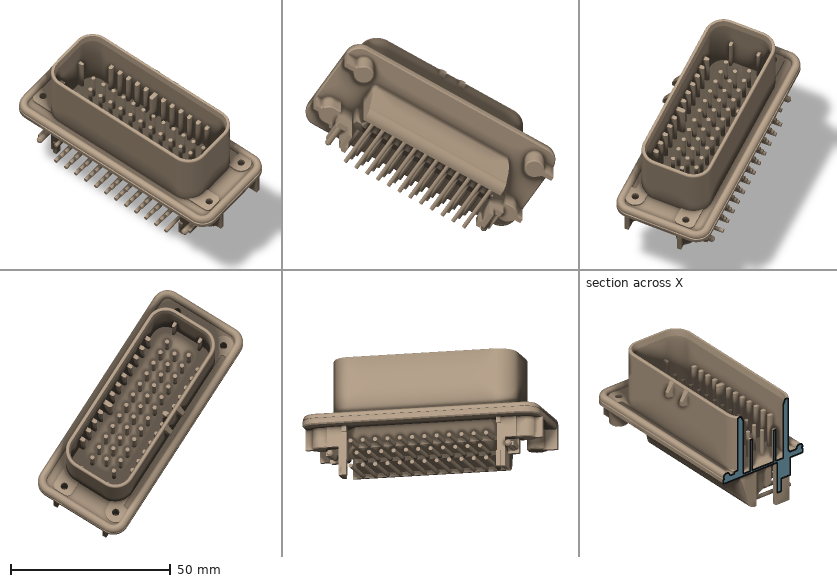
import cadquery as cq
import math


FLANGE_X = 76.9
FLANGE_Y = 32.1
FLANGE_CORNER_R = 5.0
LIP_TOP_Z = 1.75
LIP_CHAMFER = 0.4
GROOVE_TOP_Z = 2.1
GROOVE_DEPTH = 0.4
BEAD_TOP_Z = 3.65
BEAD_INSET = 0.15
BEAD_WIDTH = 2.65
TRAY_FLOOR_Z = 2.3
PAD_TOP_Z = 3.0
PAD_BACK_R = 3.2
PAD_NECK_X = 29.0
PAD_FRONT_OUTER_X = 35.5
PAD_FRONT_HALF_Y = 3.25
PAD_FRONT_R = 1.6

SHROUD_X = 59.5
SHROUD_Y = 23.5
SHROUD_CORNER_R = 6.25
SHROUD_WALL = 1.5
SHROUD_TOP_Z = 22.1
SHROUD_FLOOR_Z = 1.0
RIM_FILLET = 0.5
LEAD_IN_WIDTH = 0.5
LEAD_IN_HEIGHT = 2.0
CAVITY_X = SHROUD_X - 2 * SHROUD_WALL
CAVITY_Y = SHROUD_Y - 2 * SHROUD_WALL
CAVITY_CORNER_R = SHROUD_CORNER_R - SHROUD_WALL

GUIDE_COUNT = 12
GUIDE_PITCH = 3.48
GUIDE_WIDTH = 1.3
GUIDE_LENGTH = 1.75
GUIDE_TOP_Z = 12.3
KEY_WIDTH = 1.5
KEY_LENGTH = 3.0
BACK_KEY_INDEX = 5
FRONT_KEY_INDEX = 7
END_GUIDE_WIDTH = 1.0
END_GUIDE_Y = 4.75

LATCH_XS = (-3.6, 3.6)
LATCH_WIDTH = 1.9
LATCH_TIP_WIDTH = 1.3
LATCH_REACH = 2.1
LATCH_BOTTOM_Z = 16.7
LATCH_TIP_Z = 18.3

PIN_D = 1.3
PIN_PITCH = 4.0
PIN_TOP_Z = 9.9
PIN_TAIL_Y = -15.15
TAIL_ROOT_Y = 1.5
PIN_ROWS = ((12, 4.0, -13.7), (11, 0.0, -9.7), (12, -4.0, -5.7))

BODY_HALF_X = 25.4
BODY_CORE_HALF_X = 23.45
BODY_BACK_Y = 7.0
BODY_BACK_R = 1.5
BODY_SLOPE_TOP_Z = -2.0
BODY_SLOPE_END_Y = 4.45
BODY_HEEL_R = 2.9
BODY_BOTTOM_Z = -14.35
STEP_HEIGHT = 1.35
LOW_STEP_Y = 0.9
MID_STEP_Y = -3.3
TOP_STEP_Y = -6.9
BODY_TAPER_Y = -4.95
BODY_FRONT_Y = -8.85
BODY_FRONT_HALF_X = 21.86
MID_STEP_TOP_Z = -9.0
TOP_STEP_TOP_Z = -5.0

BOSS_R = 3.1
BOSS_BOTTOM_Z = -6.4
BOSS_CHAMFER = 0.3
BOSS_RIB_WIDTH = 1.4
BOSS_RIB_FILLET = 0.7
HOLE_D = 2.3
HOLE_BOTTOM_Z = -5.0
BACK_BOSS_X = 31.7
BACK_BOSS_Y = 10.8
FRONT_BOSS_X = 33.2
FRONT_BOSS_Y = -7.3

LEG_INNER_X = 24.4
LEG_OUTER_X = 27.0
LEG_BACK_Y = -5.6
LEG_FRONT_Y = -11.0
LEG_BOTTOM_Z = -15.7
LEG_NOTCH_X = 25.55
LEG_NOTCH_Y = -9.7
LEG_RIB_WIDTH = 1.4
LEG_RIB_DEPTH = 0.7
LEG_RIB_TOP_Z = -10.75
LEG_TOP_RIB_BOTTOM_Z = -1.9
BLOCK_OUTER_X = 30.65
TAB_FRONT_Y = -7.3
TAB_BOTTOM_Z = -11.0
TAB_FILLET = 0.4
PEG_R = 1.0
PEG_X = 28.9
PEG_Z = -9.2
PEG_TIP_CHAMFER = 0.5
FIN_THICKNESS = 1.25
FIN_OUTER_X = 30.4
FIN_END_Y = -13.4


def box(x0, x1, y0, y1, z0, z1):
    """Axis-aligned box between two corners."""
    return cq.Workplane("XY").box(x1 - x0, y1 - y0, z1 - z0, centered=False).translate((x0, y0, z0))


def rounded_block(size_x, size_y, corner_r, z0, z1):
    """Centred prism with rounded vertical corners."""
    block = cq.Workplane("XY").workplane(offset=z0).rect(size_x, size_y).extrude(z1 - z0)
    return block.edges("|Z").fillet(corner_r)


def both_sides(solid):
    """The solid together with its mirror image across the YZ plane."""
    return solid.union(solid.mirror("YZ"))


def make_flange():
    lip = rounded_block(FLANGE_X, FLANGE_Y, FLANGE_CORNER_R, 0, LIP_TOP_Z)
    lip = lip.faces("<Z").edges().chamfer(LIP_CHAMFER)
    groove_x = FLANGE_X - 2 * GROOVE_DEPTH
    groove_y = FLANGE_Y - 2 * GROOVE_DEPTH
    neck = rounded_block(groove_x, groove_y, FLANGE_CORNER_R - GROOVE_DEPTH, LIP_TOP_Z, GROOVE_TOP_Z)

    bead_outer_x = FLANGE_X / 2 - BEAD_INSET
    bead_middle_x = bead_outer_x - BEAD_WIDTH / 2
    bead_inner_x = bead_outer_x - BEAD_WIDTH
    bead_spring_z = BEAD_TOP_Z - BEAD_WIDTH / 2
    path_y = FLANGE_Y - 2 * BEAD_INSET - BEAD_WIDTH
    path_r = FLANGE_CORNER_R - BEAD_INSET - BEAD_WIDTH / 2
    path = rounded_block(2 * bead_middle_x, path_y, path_r, 0, GROOVE_TOP_Z).faces(">Z").wires()
    bead = (
        cq.Workplane("XZ").moveTo(bead_outer_x, GROOVE_TOP_Z).lineTo(bead_outer_x, bead_spring_z)
        .threePointArc((bead_middle_x, BEAD_TOP_Z), (bead_inner_x, bead_spring_z))
        .lineTo(bead_inner_x, GROOVE_TOP_Z).close()
        .sweep(path)
    )
    floor = rounded_block(2 * bead_middle_x, path_y, path_r, GROOVE_TOP_Z, TRAY_FLOOR_Z)
    return lip.union(neck).union(bead).union(floor)


def make_pads():
    """Raised screw pads on the tray floor, one around each screw hole."""
    height = PAD_TOP_Z - LIP_TOP_Z
    pad_inner_x = SHROUD_X / 2 - SHROUD_CORNER_R
    base = cq.Workplane("XY").workplane(offset=LIP_TOP_Z)
    pads = base.center(-BACK_BOSS_X, BACK_BOSS_Y).circle(PAD_BACK_R).extrude(height)
    back_top_y = SHROUD_Y / 2
    back_link = box(-BACK_BOSS_X, -pad_inner_x, BACK_BOSS_Y - PAD_BACK_R, back_top_y, LIP_TOP_Z, PAD_TOP_Z)
    pads = pads.union(back_link)
    neck = box(-BACK_BOSS_X, -PAD_NECK_X, back_top_y, BACK_BOSS_Y + PAD_BACK_R, LIP_TOP_Z, PAD_TOP_Z)
    pads = pads.union(neck)
    front = box(-PAD_FRONT_OUTER_X, -pad_inner_x, FRONT_BOSS_Y - PAD_FRONT_HALF_Y,
                FRONT_BOSS_Y + PAD_FRONT_HALF_Y, LIP_TOP_Z, PAD_TOP_Z)
    front = front.edges("|Z and <X").fillet(PAD_FRONT_R)
    return both_sides(pads.union(front))


def make_shroud():
    shroud = rounded_block(SHROUD_X, SHROUD_Y, SHROUD_CORNER_R, LIP_TOP_Z, SHROUD_TOP_Z)
    return shroud.faces(">Z").edges().fillet(RIM_FILLET)


def make_cavity():
    """Space inside the shroud, widening into a lead-in at the rim."""
    cavity = rounded_block(CAVITY_X, CAVITY_Y, CAVITY_CORNER_R, SHROUD_FLOOR_Z, SHROUD_TOP_Z)
    rim_outline = (
        cq.Sketch().rect(CAVITY_X + 2 * LEAD_IN_WIDTH, CAVITY_Y + 2 * LEAD_IN_WIDTH)
        .vertices().fillet(CAVITY_CORNER_R + LEAD_IN_WIDTH)
    )
    taper = math.degrees(math.atan(LEAD_IN_WIDTH / LEAD_IN_HEIGHT))
    rim_plane = cq.Workplane("XY").workplane(offset=SHROUD_TOP_Z)
    lead_in = rim_plane.placeSketch(rim_outline).extrude(-LEAD_IN_HEIGHT, taper=taper)
    return cavity.union(lead_in)


def make_guide(width, length, x, y, angle):
    """Round-nosed rib that reaches from a wall point into the cavity along the given angle."""
    half = width / 2
    root = -SHROUD_WALL / 2
    straight = length - half
    rib = (
        cq.Workplane("XY").workplane(offset=SHROUD_FLOOR_Z)
        .moveTo(root, -half).lineTo(straight, -half)
        .threePointArc((length, 0), (straight, half))
        .lineTo(root, half).close()
        .extrude(GUIDE_TOP_Z - SHROUD_FLOOR_Z)
    )
    return rib.rotate((0, 0, 0), (0, 0, 1), angle).translate((x, y, 0))


def make_guides():
    guides = cq.Workplane("XY")
    walls = ((CAVITY_Y / 2, -90, BACK_KEY_INDEX), (-CAVITY_Y / 2, 90, FRONT_KEY_INDEX))
    for index in range(GUIDE_COUNT):
        x = (index - (GUIDE_COUNT - 1) / 2) * GUIDE_PITCH
        for wall_y, angle, key_index in walls:
            is_key = index == key_index
            width = KEY_WIDTH if is_key else GUIDE_WIDTH
            length = KEY_LENGTH if is_key else GUIDE_LENGTH
            guides = guides.union(make_guide(width, length, x, wall_y, angle))
    for y in (-END_GUIDE_Y, END_GUIDE_Y):
        guides = guides.union(make_guide(END_GUIDE_WIDTH, GUIDE_LENGTH, -CAVITY_X / 2, y, 0))
        guides = guides.union(make_guide(END_GUIDE_WIDTH, GUIDE_LENGTH, CAVITY_X / 2, y, 180))
    return guides


def make_latches():
    """Ramped wedges that taper in plan towards their tips."""
    wall_y = SHROUD_Y / 2
    root_y = wall_y - SHROUD_WALL / 2
    tip_y = wall_y + LATCH_REACH
    latches = cq.Workplane("XY")
    for x in LATCH_XS:
        side = (
            cq.Workplane("YZ").workplane(offset=x - LATCH_WIDTH / 2)
            .moveTo(root_y, LATCH_BOTTOM_Z).lineTo(tip_y, LATCH_BOTTOM_Z).lineTo(tip_y, LATCH_TIP_Z)
            .lineTo(wall_y, SHROUD_TOP_Z - RIM_FILLET).lineTo(root_y, SHROUD_TOP_Z - RIM_FILLET).close()
            .extrude(LATCH_WIDTH)
        )
        plan = (
            cq.Workplane("XY").workplane(offset=LATCH_BOTTOM_Z)
            .moveTo(x - LATCH_WIDTH / 2, root_y).lineTo(x - LATCH_WIDTH / 2, wall_y)
            .lineTo(x - LATCH_TIP_WIDTH / 2, tip_y).lineTo(x + LATCH_TIP_WIDTH / 2, tip_y)
            .lineTo(x + LATCH_WIDTH / 2, wall_y).lineTo(x + LATCH_WIDTH / 2, root_y).close()
            .extrude(SHROUD_TOP_Z - LATCH_BOTTOM_Z)
        )
        latches = latches.union(side.intersect(plan))
    return latches


def make_body():
    """Stepped body under the flange: side profile trimmed to a plan outline."""
    heel_y = BODY_SLOPE_END_Y - BODY_HEEL_R
    heel_z = BODY_BOTTOM_Z + BODY_HEEL_R
    heel_mid = (heel_y + BODY_HEEL_R * math.cos(math.pi / 4), heel_z - BODY_HEEL_R * math.sin(math.pi / 4))
    profile = (
        cq.Workplane("YZ").workplane(offset=-BODY_HALF_X)
        .moveTo(BODY_BACK_Y, LIP_CHAMFER).lineTo(BODY_BACK_Y, BODY_SLOPE_TOP_Z)
        .lineTo(BODY_SLOPE_END_Y, heel_z).threePointArc(heel_mid, (heel_y, BODY_BOTTOM_Z))
        .lineTo(LOW_STEP_Y, BODY_BOTTOM_Z).lineTo(LOW_STEP_Y, BODY_BOTTOM_Z + STEP_HEIGHT)
        .lineTo(MID_STEP_Y, MID_STEP_TOP_Z - STEP_HEIGHT).lineTo(MID_STEP_Y, MID_STEP_TOP_Z)
        .lineTo(TOP_STEP_Y, TOP_STEP_TOP_Z - STEP_HEIGHT).lineTo(TOP_STEP_Y, TOP_STEP_TOP_Z)
        .lineTo(BODY_FRONT_Y, 0).lineTo(BODY_FRONT_Y, LIP_CHAMFER).close()
        .extrude(2 * BODY_HALF_X)
    )
    back = box(-BODY_HALF_X, BODY_HALF_X, LOW_STEP_Y, BODY_BACK_Y, BODY_BOTTOM_Z, LIP_CHAMFER)
    back = back.edges("|Z and >Y").fillet(BODY_BACK_R)
    core = box(-BODY_CORE_HALF_X, BODY_CORE_HALF_X, MID_STEP_Y, LOW_STEP_Y, BODY_BOTTOM_Z, LIP_CHAMFER)
    front = (
        cq.Workplane("XY").workplane(offset=BODY_BOTTOM_Z)
        .moveTo(-BODY_HALF_X, MID_STEP_Y).lineTo(-BODY_HALF_X, BODY_TAPER_Y)
        .lineTo(-BODY_FRONT_HALF_X, BODY_FRONT_Y).lineTo(BODY_FRONT_HALF_X, BODY_FRONT_Y)
        .lineTo(BODY_HALF_X, BODY_TAPER_Y).lineTo(BODY_HALF_X, MID_STEP_Y).close()
        .extrude(LIP_CHAMFER - BODY_BOTTOM_Z)
    )
    return profile.intersect(back.union(core).union(front))


def make_pins():
    """Upright contacts with tails that leave the body towards -Y."""
    pins = []
    for count, contact_y, tail_z in PIN_ROWS:
        for index in range(count):
            x = (index - (count - 1) / 2) * PIN_PITCH
            contact = cq.Workplane("XY").center(x, contact_y).circle(PIN_D / 2).extrude(PIN_TOP_Z)
            tail = (
                cq.Workplane("XZ").workplane(offset=-TAIL_ROOT_Y).center(x, tail_z)
                .circle(PIN_D / 2).extrude(TAIL_ROOT_Y - PIN_TAIL_Y)
            )
            pins.append(contact)
            pins.append(tail)
    return pins


def make_boss(x, y):
    """Screw boss on the -X side with a filleted rib running out to the flange end."""
    half_rib = BOSS_RIB_WIDTH / 2
    root_y = half_rib + BOSS_RIB_FILLET
    root_reach = math.sqrt((BOSS_R + BOSS_RIB_FILLET) ** 2 - root_y ** 2)
    rib_length = FLANGE_X / 2 - x
    height = LIP_CHAMFER - BOSS_BOTTOM_Z
    base = cq.Workplane("XY").workplane(offset=BOSS_BOTTOM_Z)
    boss = base.circle(BOSS_R).extrude(height)
    boss = boss.faces("<Z").edges().chamfer(BOSS_CHAMFER)
    rib = base.moveTo(-rib_length / 2, 0).rect(rib_length, BOSS_RIB_WIDTH).extrude(height)
    web = base.moveTo(-root_reach / 2, 0).rect(root_reach, 2 * root_y).extrude(height)
    fillet_centres = [(-root_reach, root_y), (-root_reach, -root_y)]
    web = web.cut(base.pushPoints(fillet_centres).circle(BOSS_RIB_FILLET).extrude(height))
    return boss.union(rib).union(web).translate((-x, y, 0))


def make_bosses():
    front = make_boss(FRONT_BOSS_X, FRONT_BOSS_Y)
    link = box(-FRONT_BOSS_X, -BLOCK_OUTER_X, FRONT_BOSS_Y - BOSS_R, FRONT_BOSS_Y + BOSS_R,
               BOSS_BOTTOM_Z, LIP_CHAMFER)
    link = link.edges("|X and <Z").chamfer(BOSS_CHAMFER)
    return both_sides(front.union(link).union(make_boss(BACK_BOSS_X, BACK_BOSS_Y)))


def make_legs():
    leg = box(-LEG_OUTER_X, -LEG_INNER_X, LEG_FRONT_Y, LEG_BACK_Y, LEG_BOTTOM_Z, LIP_CHAMFER)
    block = box(-BLOCK_OUTER_X, -LEG_INNER_X, LEG_FRONT_Y, LEG_BACK_Y, BOSS_BOTTOM_Z, LIP_CHAMFER)
    tab = box(-BLOCK_OUTER_X, -LEG_INNER_X, TAB_FRONT_Y, LEG_BACK_Y, TAB_BOTTOM_Z, BOSS_BOTTOM_Z)
    tab = tab.edges("|Y and <X and <Z").fillet(TAB_FILLET)
    rib_outer_x = LEG_INNER_X + LEG_RIB_WIDTH
    rib_front_y = LEG_FRONT_Y - LEG_RIB_DEPTH
    low_rib = box(-rib_outer_x, -LEG_INNER_X, rib_front_y, LEG_FRONT_Y, LEG_BOTTOM_Z, LEG_RIB_TOP_Z)
    top_rib = box(-rib_outer_x, -LEG_INNER_X, rib_front_y, LEG_FRONT_Y, LEG_TOP_RIB_BOTTOM_Z, LIP_CHAMFER)
    notch = box(-LEG_NOTCH_X, -LEG_INNER_X, LEG_NOTCH_Y, LEG_BACK_Y, LEG_BOTTOM_Z, 0)
    legs = leg.union(block).union(tab).union(low_rib).union(top_rib).cut(notch)
    return both_sides(legs)


def make_pegs():
    peg = (
        cq.Workplane("XZ").workplane(offset=-LEG_BACK_Y).center(-PEG_X, PEG_Z)
        .circle(PEG_R).extrude(LEG_BACK_Y - PIN_TAIL_Y)
        .faces("<Y").edges().chamfer(PEG_TIP_CHAMFER)
    )
    half_fin = FIN_THICKNESS / 2
    fin = box(-FIN_OUTER_X, -PEG_X, FIN_END_Y, LEG_BACK_Y, PEG_Z - half_fin, PEG_Z + half_fin)
    return both_sides(peg.union(fin))


def make_screw_holes():
    depth = PAD_TOP_Z - HOLE_BOTTOM_Z
    centres = []
    for side in (-1, 1):
        centres.append((side * BACK_BOSS_X, BACK_BOSS_Y))
        centres.append((side * FRONT_BOSS_X, FRONT_BOSS_Y))
    bottom = cq.Workplane("XY").workplane(offset=HOLE_BOTTOM_Z)
    return bottom.pushPoints(centres).circle(HOLE_D / 2).extrude(depth)


result = make_flange().union(make_pads()).union(make_shroud()).union(make_latches())
result = result.cut(make_cavity()).union(make_guides())
result = result.union(make_bosses()).union(make_legs()).union(make_pegs()).union(make_body())
result = result.cut(make_screw_holes())
for pin in make_pins():
    result = result.union(pin)